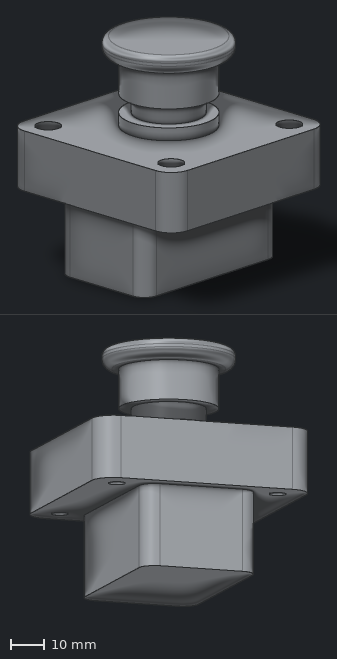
import cadquery as cq

block_height = 25.0
plate_height = 19.0
collar_height = 4.0
neck_height = 6.0
stem_height = 12.0
total_height = 72.0

block_width = 36.0
block_length = 58.2
block_corner_radius = 5.0

plate_side = 68.0
plate_corner_radius = 6.8
hole_spacing = 51.0
hole_diameter = 5.0
counterbore_diameter = 8.0
counterbore_depth = 3.0

collar_diameter = 30.0
neck_diameter = 22.5
stem_diameter = collar_diameter
head_diameter = 40.0
head_top_fillet = 2.0
head_bottom_fillet = 3.0

plate_top = block_height + plate_height
collar_top = plate_top + collar_height
neck_top = collar_top + neck_height
head_bottom = neck_top + stem_height


def rounded_block(width, length, height, corner_radius, bottom):
    """Rectangular block with rounded vertical edges."""
    block = cq.Workplane("XY").workplane(offset=bottom).rect(width, length).extrude(height)
    return block.edges("|Z").fillet(corner_radius)


def disc(diameter, bottom, top):
    """Cylinder on the Z axis between two levels."""
    return cq.Workplane("XY").workplane(offset=bottom).circle(diameter / 2).extrude(top - bottom)


def mounting_plate():
    """Rounded square plate with a counterbored through hole in each corner."""
    plate = rounded_block(plate_side, plate_side, plate_height, plate_corner_radius, block_height)
    return (
        plate.faces(">Z")
        .workplane(origin=(0, 0, plate_top))
        .rect(hole_spacing, hole_spacing, forConstruction=True)
        .vertices()
        .cboreHole(hole_diameter, counterbore_diameter, counterbore_depth)
    )


def button_head():
    """Mushroom head with rounded upper and lower rims."""
    head = disc(head_diameter, head_bottom, total_height)
    head = head.faces(">Z").edges().fillet(head_top_fillet)
    return head.faces("<Z").edges().fillet(head_bottom_fillet)


contact_block = rounded_block(block_width, block_length, block_height, block_corner_radius, 0)

result = (
    mounting_plate()
    .union(contact_block)
    .union(disc(collar_diameter, plate_top, collar_top))
    .union(disc(neck_diameter, collar_top, neck_top))
    .union(disc(stem_diameter, neck_top, head_bottom))
    .union(button_head())
)